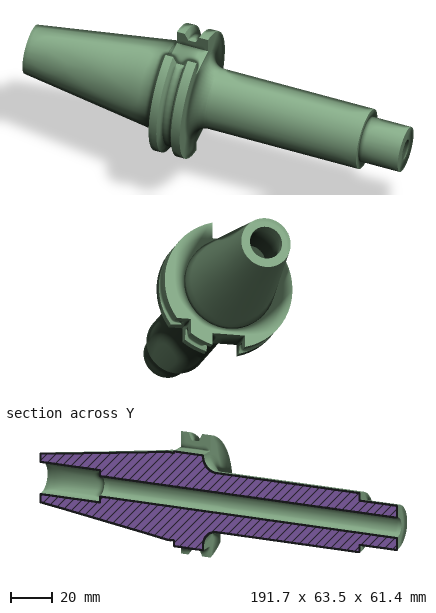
import cadquery as cq
import math

total_length = 191.7
taper_length = 68.5
gauge_band_width = 1.5
flange_start = 71.7
flange_width = 16.0
shank_end = 171.8
flange_end = flange_start + flange_width

gauge_radius = 44.5 / 2
taper_ratio = 7 / 24
small_end_radius = gauge_radius - taper_length * taper_ratio / 2
neck_relief = 0.2
neck_radius = gauge_radius - neck_relief
flange_radius = 63.5 / 2
shank_radius = 30.0 / 2
tip_radius = 22.5 / 2
root_fillet = 7.0

groove_center = 79.4
groove_floor_width = 3.8
groove_mouth_width = 7.5
groove_floor_radius = 28.0

slot_width = 16.1
upper_slot_floor = 22.8
lower_slot_floor = 25.0
notch_inner_y = 18.8
notch_top_z = -18.5

thread_bore_diameter = 16.0
thread_bore_depth = 32.0
through_bore_diameter = 10.0


def turned_body():
    """Taper, flange, shank and tip revolved about the X axis."""
    gauge_end = taper_length + gauge_band_width
    arc_offset = root_fillet * (1 - math.sqrt(0.5))
    profile = (
        cq.Workplane("XY")
        .moveTo(0, 0)
        .lineTo(0, small_end_radius)
        .lineTo(taper_length, gauge_radius)
        .lineTo(gauge_end, gauge_radius)
        .lineTo(gauge_end, neck_radius)
        .lineTo(flange_start, neck_radius)
        .lineTo(flange_start, flange_radius)
        .lineTo(flange_end, flange_radius)
        .lineTo(flange_end, shank_radius + root_fillet)
        .threePointArc(
            (flange_end + arc_offset, shank_radius + arc_offset),
            (flange_end + root_fillet, shank_radius),
        )
        .lineTo(shank_end, shank_radius)
        .lineTo(shank_end, tip_radius)
        .lineTo(total_length, tip_radius)
        .lineTo(total_length, 0)
        .close()
    )
    return profile.revolve(360, (0, 0, 0), (1, 0, 0))


def gripper_groove():
    """Ring-shaped cutter for the groove around the flange."""
    half_floor = groove_floor_width / 2
    half_mouth = groove_mouth_width / 2
    profile = cq.Workplane("XY").polyline([
        (groove_center - half_floor, groove_floor_radius),
        (groove_center - half_mouth, flange_radius),
        (groove_center + half_mouth, flange_radius),
        (groove_center + half_floor, groove_floor_radius),
    ]).close()
    return profile.revolve(360, (0, 0, 0), (1, 0, 0))


def flange_cut(y_min, y_max, z_min, z_max):
    """Box cutter spanning the flange width between the given Y and Z limits."""
    return (
        cq.Workplane("XY")
        .box(flange_width, y_max - y_min, z_max - z_min, centered=False)
        .translate((flange_start, y_min, z_min))
    )


def bore(diameter, depth):
    """Cylindrical cutter entering from the small end of the taper."""
    return cq.Workplane("YZ").circle(diameter / 2).extrude(depth)


half_slot = slot_width / 2
result = (
    turned_body()
    .cut(gripper_groove())
    .cut(flange_cut(-half_slot, half_slot, upper_slot_floor, flange_radius))
    .cut(flange_cut(-half_slot, half_slot, -flange_radius, -lower_slot_floor))
    .cut(flange_cut(notch_inner_y, flange_radius, -flange_radius, notch_top_z))
    .cut(bore(thread_bore_diameter, thread_bore_depth))
    .cut(bore(through_bore_diameter, total_length))
)